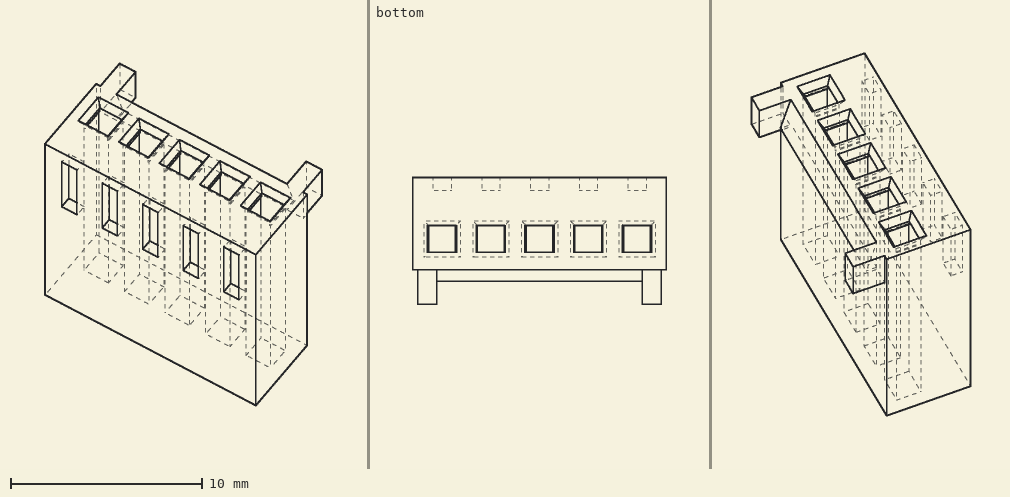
import cadquery as cq

width = 13.26
total_depth = 6.63
height = 12.7
tab_reach = 1.8
body_depth = total_depth - tab_reach

contact_count = 5
contact_pitch = 2.55
contact_xs = [(i - (contact_count - 1) / 2) * contact_pitch for i in range(contact_count)]

hole_y = 3.21
hole_size = 1.39
mouth_size = 1.88
mouth_depth = 0.49

throat_depth = 0.25
bore_width = 1.52

slot_width = 0.95
slot_height = 3.77
slot_depth = 0.66
slot_top_gap = 0.77

tab_width = 1.01
tab_height = 2.17
tab_side_gap = 0.27

ramp_reach = 0.6
ramp_height = 2.0


def make_body():
    return cq.Workplane("XY").box(width, body_depth, height, centered=(True, False, False))


def make_tab(side):
    tab_x = side * (width / 2 - tab_side_gap - tab_width / 2)
    return (
        cq.Workplane("XY")
        .box(tab_width, tab_reach, tab_height, centered=(True, False, False))
        .translate((tab_x, body_depth, height - tab_height))
    )


def make_ramp():
    length = width - 2 * (tab_side_gap + tab_width)
    return (
        cq.Workplane("YZ")
        .moveTo(body_depth, height)
        .lineTo(body_depth + ramp_reach, height - ramp_height)
        .lineTo(body_depth, height - ramp_height)
        .close()
        .extrude(length / 2, both=True)
    )


def make_hole(x):
    throat = (
        cq.Workplane("XY")
        .center(x, hole_y)
        .rect(hole_size, hole_size)
        .extrude(height)
    )
    bore = (
        cq.Workplane("XY")
        .center(x, hole_y)
        .rect(bore_width, hole_size)
        .extrude(height - mouth_depth - throat_depth)
    )
    mouth = (
        cq.Workplane("XY", origin=(x, hole_y, height - mouth_depth))
        .rect(hole_size, hole_size)
        .workplane(offset=mouth_depth)
        .rect(mouth_size, mouth_size)
        .loft(ruled=True)
    )
    return throat.union(bore).union(mouth)


def make_slot(x):
    return (
        cq.Workplane("XY")
        .box(slot_width, slot_depth, slot_height, centered=(True, False, False))
        .translate((x, 0, height - slot_top_gap - slot_height))
    )


result = make_body().union(make_ramp())
for side in (-1, 1):
    result = result.union(make_tab(side))
for x in contact_xs:
    result = result.cut(make_hole(x)).cut(make_slot(x))